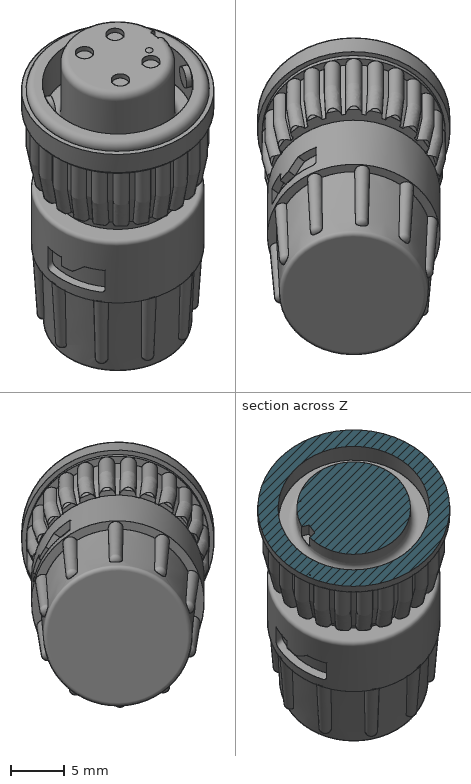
import math

import cadquery as cq

CABLE_END_TOP = 9.86
SLEEVE_TOP = 17.5
KNURL_BOTTOM = 19.4
KNURL_BEND = 22.7
KNURL_TOP = 26.8
FLANGE_BOTTOM = 27.3
FLANGE_TOP = 29.6
COLLAR_TOP = 30.4
PLUG_TOP = 33.7
OVERALL_HEIGHT = 33.8

BASE_RADIUS = 6.95
CONE_TOP_RADIUS = 7.25
BASE_FILLET = 0.4

RIB_COUNT = 10
RIB_FIRST_ANGLE = 90
RIB_BOTTOM = 1.27
RIB_BOTTOM_RADIUS = 0.6
RIB_TOP_RADIUS = 0.71
RIB_AXIS_BOTTOM = 6.95
RIB_AXIS_TOP = 7.31
RIB_END_ROUND = 0.5

SLEEVE_RADIUS = 8.09
SLEEVE_FILLET = 0.4
NECK_RADIUS = 6.22

WINDOW_DIRECTION = -72.8
WINDOW_HALF_WIDTH = 3.13
WINDOW_BOTTOM = 11.1
WINDOW_TOP = 13.9
WINDOW_FLOOR_RADIUS = 7.3
WINDOW_CORNER = 0.4
TOOTH_BOTTOM = 12.79
TOOTH_LEFT = -1.34
TOOTH_TIP_RIGHT = -0.04
TOOTH_ROOT_RIGHT = 1.2

LOBE_COUNT = 24
LOBE_FIRST_ANGLE = 5.9
LOBE_HALF_WIDTH = 0.77
LOBE_HEIGHT = 0.73
KNURL_TOP_CREST = 8.58
KNURL_BOTTOM_CREST = 8.03
KNURL_BOTTOM_CHAMFER = 0.2
FLANGE_RADIUS = 9.015
COLLAR_RADIUS = 8.58
COLLAR_FILLET = 0.75

BORE_RADIUS = 7.06
BORE_FLOOR = 26.0
PLUG_ROOT_FILLET = 0.75

PIN_ANGLE = 66.7
PIN_RADIUS = 1.05
PIN_INNER_REACH = 6.45
PIN_CENTER_HEIGHT = 29.3

PLUG_RADIUS = 5.34
PLUG_FILLET = 0.74
CONTACT_RADIUS = 0.85
CONTACT_X = 2.53
CONTACT_Y = 1.91
CONTACT_DEPTH = 0.55
DOT_X = 1.25
DOT_Y = 2.85
DOT_RADIUS = 0.36
KEYWAY_FLOOR = 4.6
KEYWAY_FLOOR_WIDTH = 1.0
KEYWAY_MOUTH_WIDTH = 1.4

EMBED = 0.3


def disc(radius, bottom, top):
    return cq.Workplane("XY").workplane(offset=bottom).circle(radius).extrude(top - bottom)


def make_cable_end():
    profile = (
        cq.Workplane("XZ")
        .moveTo(0, 0)
        .lineTo(BASE_RADIUS, 0)
        .lineTo(CONE_TOP_RADIUS, CABLE_END_TOP)
        .lineTo(0, CABLE_END_TOP)
        .close()
    )
    return profile.revolve(360, (0, 0), (0, 1)).faces("<Z").edges().fillet(BASE_FILLET)


def make_rib():
    """One tapered round rib with a rounded lower end, leaning outward toward its top."""
    length = CABLE_END_TOP - RIB_BOTTOM + EMBED
    rib = (
        cq.Workplane("XY")
        .circle(RIB_BOTTOM_RADIUS)
        .workplane(offset=length)
        .circle(RIB_TOP_RADIUS)
        .loft()
        .faces("<Z")
        .edges()
        .fillet(RIB_END_ROUND)
    )
    lean = math.degrees(math.atan2(RIB_AXIS_TOP - RIB_AXIS_BOTTOM, CABLE_END_TOP - RIB_BOTTOM))
    return rib.rotate((0, 0, 0), (0, 1, 0), lean).translate((RIB_AXIS_BOTTOM, 0, RIB_BOTTOM))


def add_ribs(body):
    rib = make_rib()
    for index in range(RIB_COUNT):
        angle = RIB_FIRST_ANGLE + index * 360 / RIB_COUNT
        body = body.union(rib.rotate((0, 0, 0), (0, 0, 1), angle))
    return body


def make_window_cutter():
    """Window with a hanging latch tooth, facing -Y, cut down to a round floor."""
    opening = (
        cq.Workplane("XZ")
        .moveTo(-WINDOW_HALF_WIDTH, WINDOW_BOTTOM)
        .lineTo(WINDOW_HALF_WIDTH, WINDOW_BOTTOM)
        .lineTo(WINDOW_HALF_WIDTH, WINDOW_TOP)
        .lineTo(TOOTH_ROOT_RIGHT, WINDOW_TOP)
        .lineTo(TOOTH_TIP_RIGHT, TOOTH_BOTTOM)
        .lineTo(TOOTH_LEFT, TOOTH_BOTTOM)
        .lineTo(TOOTH_LEFT, WINDOW_TOP)
        .lineTo(-WINDOW_HALF_WIDTH, WINDOW_TOP)
        .close()
        .extrude(FLANGE_RADIUS)
        .faces("<Z")
        .edges("|Y")
        .fillet(WINDOW_CORNER)
    )
    return opening.cut(disc(WINDOW_FLOOR_RADIUS, 0, SLEEVE_TOP))


def make_sleeve():
    sleeve = disc(SLEEVE_RADIUS, CABLE_END_TOP, SLEEVE_TOP).faces(">Z").edges().fillet(SLEEVE_FILLET)
    cutter = make_window_cutter()
    for half_turn in (0, 180):
        angle = WINDOW_DIRECTION + 90 + half_turn
        sleeve = sleeve.cut(cutter.rotate((0, 0, 0), (0, 0, 1), angle))
    return sleeve


def polar(radius, angle):
    return (radius * math.cos(math.radians(angle)), radius * math.sin(math.radians(angle)))


def lobed_outline(plane, crest_radius):
    """Closed ring of round lobes joined by short arcs along the valleys."""
    valley_radius = crest_radius - LOBE_HEIGHT
    pitch = 360 / LOBE_COUNT
    half_angle = math.degrees(math.asin(LOBE_HALF_WIDTH / valley_radius))
    outline = plane.moveTo(*polar(valley_radius, LOBE_FIRST_ANGLE - half_angle))
    for index in range(LOBE_COUNT):
        middle = LOBE_FIRST_ANGLE + index * pitch
        crest = polar(crest_radius, middle)
        lobe_end = polar(valley_radius, middle + half_angle)
        valley = polar(valley_radius, middle + pitch / 2)
        next_lobe = polar(valley_radius, middle + pitch - half_angle)
        outline = outline.threePointArc(crest, lobe_end).threePointArc(valley, next_lobe)
    return outline.close()


def make_knurl():
    """Straight lobes above, narrowing below the bend to a chamfered lower end."""
    upper = lobed_outline(cq.Workplane("XY").workplane(offset=KNURL_BEND), KNURL_TOP_CREST)
    upper = upper.extrude(KNURL_TOP - KNURL_BEND)
    lower = lobed_outline(cq.Workplane("XY").workplane(offset=KNURL_BOTTOM), KNURL_BOTTOM_CREST)
    lower = lobed_outline(lower.workplane(offset=KNURL_BEND - KNURL_BOTTOM), KNURL_TOP_CREST)
    lower = lower.loft(ruled=True)
    envelope = (
        disc(FLANGE_RADIUS, KNURL_BOTTOM, KNURL_TOP)
        .faces("<Z")
        .edges()
        .chamfer(FLANGE_RADIUS - KNURL_BOTTOM_CREST + KNURL_BOTTOM_CHAMFER)
    )
    return upper.union(lower).intersect(envelope)


def make_collar():
    collar = disc(COLLAR_RADIUS, KNURL_TOP, COLLAR_TOP).faces(">Z").edges().fillet(COLLAR_FILLET)
    return collar.union(disc(FLANGE_RADIUS, FLANGE_BOTTOM, FLANGE_TOP))


def make_bayonet_pin():
    """Round pin lying along +X, from its inner end to just inside the bore wall."""
    return (
        cq.Workplane("YZ")
        .workplane(offset=PIN_INNER_REACH)
        .center(0, PIN_CENTER_HEIGHT)
        .circle(PIN_RADIUS)
        .extrude(BORE_RADIUS + EMBED - PIN_INNER_REACH)
    )


def make_plug():
    """Round plug rising from the bore floor, with a concave fillet at its root."""
    root_top = BORE_FLOOR + PLUG_ROOT_FILLET
    root_radius = PLUG_RADIUS + PLUG_ROOT_FILLET
    diagonal = PLUG_ROOT_FILLET * math.sqrt(0.5)
    plug = (
        cq.Workplane("XZ")
        .moveTo(0, BORE_FLOOR - EMBED)
        .lineTo(root_radius, BORE_FLOOR - EMBED)
        .lineTo(root_radius, BORE_FLOOR)
        .threePointArc((root_radius - diagonal, root_top - diagonal), (PLUG_RADIUS, root_top))
        .lineTo(PLUG_RADIUS, PLUG_TOP)
        .lineTo(0, PLUG_TOP)
        .close()
        .revolve(360, (0, 0), (0, 1))
        .faces(">Z")
        .edges()
        .fillet(PLUG_FILLET)
    )
    keyway = (
        cq.Workplane("XY")
        .workplane(offset=root_top)
        .moveTo(-KEYWAY_FLOOR_WIDTH / 2, KEYWAY_FLOOR)
        .lineTo(KEYWAY_FLOOR_WIDTH / 2, KEYWAY_FLOOR)
        .lineTo(KEYWAY_MOUTH_WIDTH / 2, PLUG_RADIUS)
        .lineTo(-KEYWAY_MOUTH_WIDTH / 2, PLUG_RADIUS)
        .close()
        .extrude(PLUG_TOP - root_top)
    )
    contacts = (
        cq.Workplane("XY")
        .workplane(offset=PLUG_TOP - CONTACT_DEPTH)
        .rect(2 * CONTACT_X, 2 * CONTACT_Y, forConstruction=True)
        .vertices()
        .circle(CONTACT_RADIUS)
        .extrude(CONTACT_DEPTH)
    )
    dot_height = OVERALL_HEIGHT - PLUG_TOP
    dome_radius = (DOT_RADIUS**2 + dot_height**2) / (2 * dot_height)
    dot = cq.Workplane("XY").sphere(dome_radius).translate((DOT_X, DOT_Y, OVERALL_HEIGHT - dome_radius))
    return plug.cut(keyway).cut(contacts).union(dot)


def make_coupling_ring():
    ring = make_knurl().union(make_collar())
    ring = ring.cut(disc(BORE_RADIUS, BORE_FLOOR, COLLAR_TOP))
    pin = make_bayonet_pin()
    for half_turn in (0, 180):
        ring = ring.union(pin.rotate((0, 0, 0), (0, 0, 1), PIN_ANGLE + half_turn))
    return ring


result = (
    add_ribs(make_cable_end())
    .union(make_sleeve())
    .union(disc(NECK_RADIUS, SLEEVE_TOP - EMBED, KNURL_BOTTOM + EMBED))
    .union(make_coupling_ring())
    .union(make_plug())
)